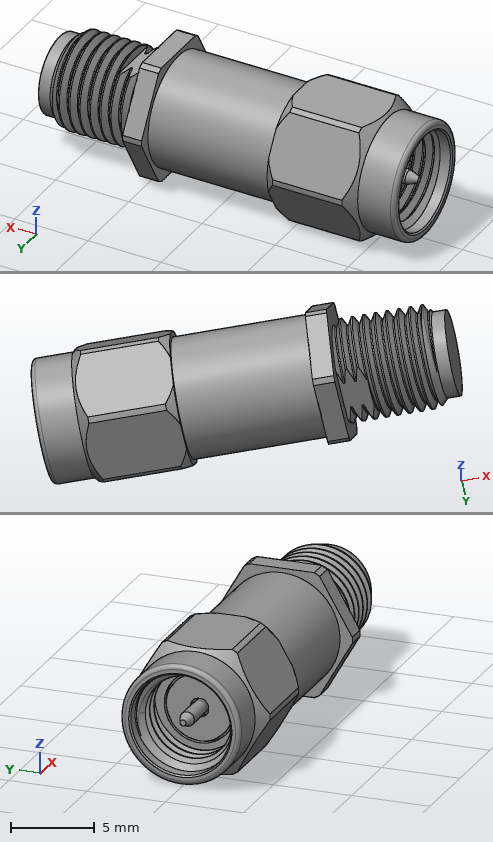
import cadquery as cq
import math

TOTAL_LENGTH = 25.0
COLLAR_END = 2.52
NUT_END = 8.55
FLANGE_START = 16.9
FLANGE_END = 18.2
WRENCH_FLAT_END = 19.95
THREAD_END = 24.2

COLLAR_RADIUS = 3.82
COLLAR_ROUND = 0.28
BODY_RADIUS = 3.72
HEX_ACROSS_FLATS = 8.0
HEX_CORNER_RADIUS = 4.51
NUT_BACK_RADIUS = 4.1
NUT_BACK_CHAMFER_LENGTH = 0.6
JACK_LIP_RADIUS = 2.62
WRENCH_FLAT_HEIGHT = 2.54

THREAD_PITCH = 25.4 / 36
THREAD_RADIUS = 3.14
THREAD_DEPTH = 0.45
THREAD_ROOT_RADIUS = THREAD_RADIUS - THREAD_DEPTH
FLANK_ANGLE = 30
ROOT_WIDTH = THREAD_PITCH / 8
CUT_OVERSHOOT = 0.02
JACK_CREST_AT_BOTTOM = 20.32

MOUTH_RADIUS = 3.2
MOUTH_DEPTH = 0.8
MOUTH_CHAMFER = 0.1
SOCKET_CREST_AT_BOTTOM = 1.39
SOCKET_DEPTH = 3.2
DIELECTRIC_RADIUS = 2.12
DIELECTRIC_GAP = 0.13
GAP_DEPTH = 0.3
PIN_RADIUS = 0.46
PIN_TIP_RADIUS = 0.19
PIN_TIP_LENGTH = 0.7
PIN_TIP_START = 0.45
PIN_GAP = 0.13


def cylinder(start, end, radius):
    """Cylinder on the X axis."""
    return cq.Workplane("YZ", origin=(start, 0, 0)).circle(radius).extrude(end - start)


def ring(start, end, inner_radius, outer_radius):
    """Tube on the X axis."""
    return cylinder(start, end, outer_radius).cut(cylinder(start, end, inner_radius))


def turned(points):
    """Solid of revolution from (x, radius) points."""
    return cq.Workplane("XY").polyline(points).close().revolve(360, (0, 0, 0), (1, 0, 0))


def hexagon(start, end):
    """Hexagon with flats facing +Z and -Z and its corners turned down."""
    corner_diameter = HEX_ACROSS_FLATS / math.cos(math.pi / 6)
    prism = cq.Workplane("YZ", origin=(start, 0, 0)).polygon(6, corner_diameter).extrude(end - start)
    return prism.intersect(cylinder(start, end, HEX_CORNER_RADIUS))


def threaded_rod(start, end, crest_at_bottom):
    """Rod with a right-handed thread, one of whose crests passes below the axis at crest_at_bottom."""
    cut_radius = THREAD_RADIUS + CUT_OVERSHOOT
    cut_width = ROOT_WIDTH + 2 * (THREAD_DEPTH + CUT_OVERSHOOT) * math.tan(math.radians(FLANK_ANGLE))

    turns_before = math.ceil((crest_at_bottom - start) / THREAD_PITCH) + 1.5
    groove_start = crest_at_bottom - turns_before * THREAD_PITCH
    groove_length = (math.ceil((end - groove_start) / THREAD_PITCH) + 1) * THREAD_PITCH
    helix = cq.Workplane(obj=cq.Wire.makeHelix(THREAD_PITCH, groove_length, THREAD_ROOT_RADIUS))
    profile = cq.Workplane("XZ").polyline([
        (THREAD_ROOT_RADIUS, -ROOT_WIDTH / 2),
        (THREAD_ROOT_RADIUS, ROOT_WIDTH / 2),
        (cut_radius, cut_width / 2),
        (cut_radius, -cut_width / 2),
    ]).close()
    groove = profile.sweep(helix, isFrenet=True)
    groove = groove.rotate((0, 0, 0), (0, 1, 0), 90).translate((groove_start, 0, 0))

    blank = cylinder(groove_start - THREAD_PITCH, groove_start + groove_length + THREAD_PITCH, THREAD_RADIUS)
    return blank.cut(groove).intersect(cylinder(start, end, 2 * THREAD_RADIUS))


def coupling_nut():
    """Round collar and hexagon, with the hexagon's corners bevelled at both ends."""
    collar = cylinder(0, COLLAR_END, COLLAR_RADIUS).faces("<X").edges().fillet(COLLAR_ROUND)
    front_chamfer = HEX_CORNER_RADIUS - COLLAR_RADIUS
    back_chamfer = HEX_CORNER_RADIUS - NUT_BACK_RADIUS
    envelope = cylinder(COLLAR_END, NUT_END, HEX_CORNER_RADIUS)
    envelope = envelope.faces("<X").edges().chamfer(front_chamfer)
    envelope = envelope.faces(">X").edges().chamfer(NUT_BACK_CHAMFER_LENGTH, back_chamfer)
    return collar.union(hexagon(COLLAR_END, NUT_END).intersect(envelope))


def jack_thread():
    """Male thread with a chamfered end and two wrench flats next to the flange."""
    end_chamfer = THREAD_RADIUS - JACK_LIP_RADIUS
    envelope = turned([
        (FLANGE_END, 0),
        (FLANGE_END, THREAD_RADIUS),
        (THREAD_END - end_chamfer, THREAD_RADIUS),
        (THREAD_END, JACK_LIP_RADIUS),
        (THREAD_END, 0),
    ])
    flat_length = WRENCH_FLAT_END - FLANGE_END
    flat_centre = (FLANGE_END + WRENCH_FLAT_END) / 2
    cutter_centre_height = WRENCH_FLAT_HEIGHT + THREAD_RADIUS / 2
    for side in (1, -1):
        cutter = cq.Workplane("XY").box(flat_length, 2 * THREAD_RADIUS, THREAD_RADIUS)
        envelope = envelope.cut(cutter.translate((flat_centre, 0, side * cutter_centre_height)))
    return threaded_rod(FLANGE_END, THREAD_END, JACK_CREST_AT_BOTTOM).intersect(envelope)


def socket():
    """Everything hollow in the plug, with the female thread as a rod overlapping the mouth."""
    mouth_end = MOUTH_DEPTH + MOUTH_RADIUS - THREAD_ROOT_RADIUS
    mouth = turned([
        (0, 0),
        (0, MOUTH_RADIUS + MOUTH_CHAMFER),
        (MOUTH_CHAMFER, MOUTH_RADIUS),
        (MOUTH_DEPTH, MOUTH_RADIUS),
        (mouth_end, THREAD_ROOT_RADIUS),
        (mouth_end, 0),
    ])
    gap_end = SOCKET_DEPTH + GAP_DEPTH
    return (
        mouth
        .union(threaded_rod(MOUTH_DEPTH / 2, SOCKET_DEPTH, SOCKET_CREST_AT_BOTTOM))
        .union(ring(SOCKET_DEPTH, gap_end, DIELECTRIC_RADIUS, DIELECTRIC_RADIUS + DIELECTRIC_GAP))
        .union(ring(SOCKET_DEPTH, gap_end, PIN_RADIUS, PIN_RADIUS + PIN_GAP))
    )


def pin():
    """Centre contact with a tapered tip, rooted in the bottom of the gap around it."""
    root = SOCKET_DEPTH + GAP_DEPTH
    return turned([
        (PIN_TIP_START, 0),
        (PIN_TIP_START, PIN_TIP_RADIUS),
        (PIN_TIP_START + PIN_TIP_LENGTH, PIN_RADIUS),
        (root, PIN_RADIUS),
        (root, 0),
    ])


result = (
    coupling_nut()
    .union(cylinder(NUT_END, FLANGE_START, BODY_RADIUS))
    .union(hexagon(FLANGE_START, FLANGE_END))
    .union(jack_thread())
    .union(cylinder(THREAD_END, TOTAL_LENGTH, JACK_LIP_RADIUS))
    .cut(socket())
    .union(pin())
)